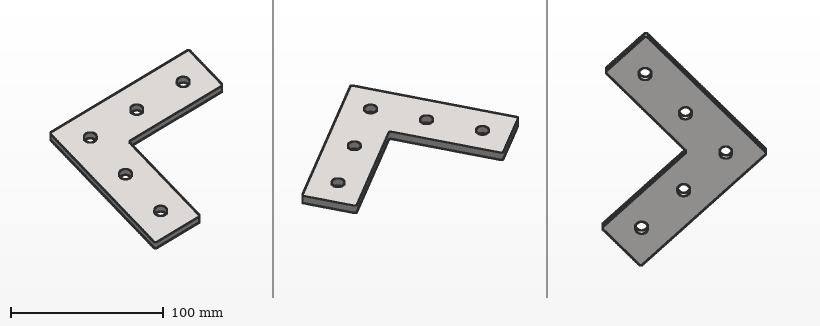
import cadquery as cq

side_length = 114.3
arm_width = 37.0
thickness = 6.4
corner_radius = 1.3
hole_diameter = 8.5
holes_per_arm = 3

hole_pitch = side_length / holes_per_arm
first_hole = hole_pitch / 2


def make_plate():
    """L-shaped plate with its outer corner at the origin and all upright edges rounded."""
    outline = [
        (0, 0),
        (side_length, 0),
        (side_length, arm_width),
        (arm_width, arm_width),
        (arm_width, side_length),
        (0, side_length),
    ]
    plate = cq.Workplane("XY").polyline(outline).close().extrude(thickness)
    return plate.edges("|Z").fillet(corner_radius)


def hole_centres():
    """Hole centres along both arms; the corner hole is shared."""
    stations = [first_hole + i * hole_pitch for i in range(holes_per_arm)]
    along_x = [(s, first_hole) for s in stations]
    along_y = [(first_hole, s) for s in stations[1:]]
    return along_x + along_y


def make_holes():
    """Cylinders that cut the through holes."""
    return cq.Workplane("XY").pushPoints(hole_centres()).circle(hole_diameter / 2).extrude(thickness)


result = make_plate().cut(make_holes())